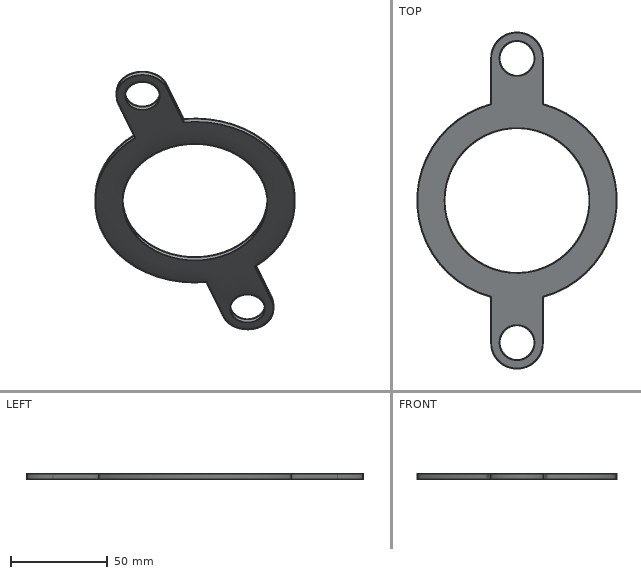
import cadquery as cq

overall_length = 174.4
ring_diameter = 103.6
bore_diameter = 75.0
tab_width = 27.0
tab_hole_diameter = 18.0
thickness = 3.0

hole_spacing = overall_length - tab_width


def make_plate():
    """Flat ring with a round-ended tab on each side along Y."""
    ring = cq.Workplane("XY").circle(ring_diameter / 2).extrude(thickness)
    tabs = cq.Workplane("XY").slot2D(overall_length, tab_width, 90).extrude(thickness)
    return ring.union(tabs)


def cut_bore(plate):
    """Central opening of the ring."""
    return plate.faces(">Z").workplane(origin=(0, 0)).hole(bore_diameter)


def cut_tab_holes(plate):
    """One through hole near the end of each tab."""
    centers = [(0, side * hole_spacing / 2) for side in (-1, 1)]
    return plate.faces(">Z").workplane(origin=(0, 0)).pushPoints(centers).hole(tab_hole_diameter)


result = cut_tab_holes(cut_bore(make_plate()))